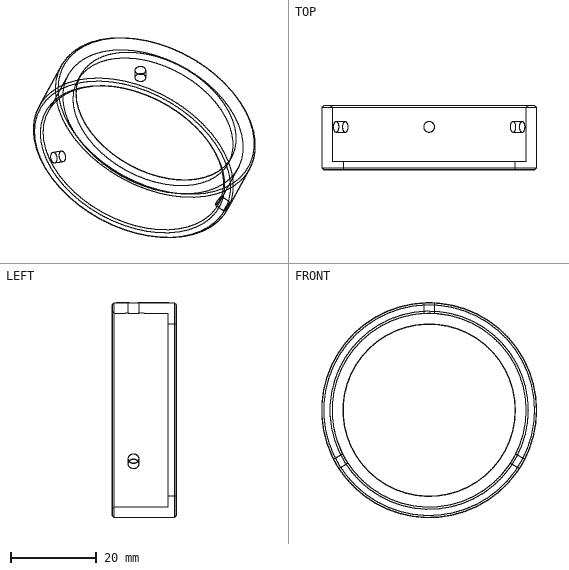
import cadquery as cq

outer_diameter = 50.0
bore_diameter = 40.0
width = 15.0
edge_chamfer = 0.5

hole_diameter = 2.5
hole_count = 3
hole_offset = 2.5

recess_diameter = 45.1
lip_width = 2.0


def cylinder_along_y(diameter, length, start):
    """Solid cylinder on the Y axis, from y = start toward +Y."""
    return cq.Workplane("XZ", origin=(0, start, 0)).circle(diameter / 2).extrude(-length)


def radial_hole(angle):
    """Cutter from the axis out through the wall, turned about Y."""
    cutter = (
        cq.Workplane("XY", origin=(0, hole_offset, 0))
        .circle(hole_diameter / 2)
        .extrude(outer_diameter)
    )
    return cutter.rotate((0, 0, 0), (0, 1, 0), angle)


front = -width / 2
ring = cylinder_along_y(outer_diameter, width, front).edges().chamfer(edge_chamfer)
ring = ring.cut(cylinder_along_y(bore_diameter, width, front))
ring = ring.cut(cylinder_along_y(recess_diameter, width - lip_width, front + lip_width))
ring = ring.faces(">Y").edges(cq.selectors.RadiusNthSelector(0)).chamfer(edge_chamfer)

for index in range(hole_count):
    ring = ring.cut(radial_hole(index * 360 / hole_count))

result = ring